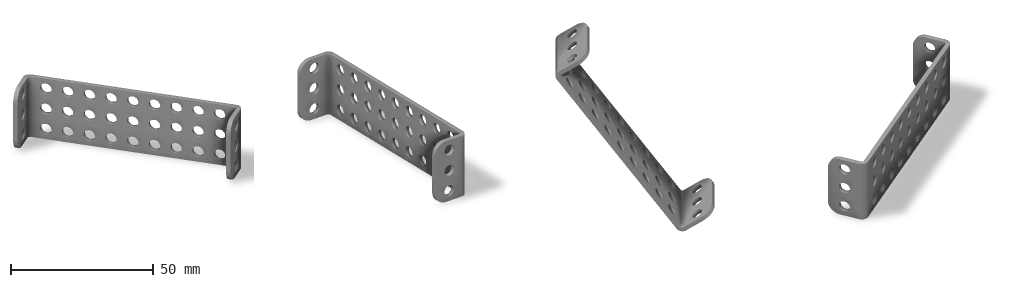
import cadquery as cq

length = 80.0
depth = 14.3
height = 24.0

thickness = 1.6
inner_bend_radius = 0.8
outer_bend_radius = inner_bend_radius + thickness
flange_corner_radius = 4.8

hole_diameter = 4.2
hole_pitch = 8.0
web_columns = 9
rows = 3
flange_hole_setback = 8.0

back_y = depth / 2
inner_length = length - 2 * thickness


def upright_block(width, front_y, rear_y, bend_radius):
    """Block centred on X and Z, with its two rear vertical edges rounded."""
    block = cq.Workplane("XY").box(width, rear_y - front_y, height)
    block = block.edges("|Z and >Y").fillet(bend_radius)
    return block.translate((0, (front_y + rear_y) / 2, 0))


outside = upright_block(length, -back_y, back_y, outer_bend_radius)
inside = upright_block(inner_length, -back_y, back_y - thickness, inner_bend_radius)
bracket = outside.cut(inside)

bracket = bracket.edges("|X and <Y").fillet(flange_corner_radius)

web_holes = (
    cq.Workplane("XZ", origin=(0, back_y, 0))
    .rarray(hole_pitch, hole_pitch, web_columns, rows)
    .circle(hole_diameter / 2)
    .extrude(thickness)
)

flange_holes = (
    cq.Workplane("YZ", origin=(0, back_y - flange_hole_setback, 0))
    .rarray(hole_pitch, hole_pitch, 1, rows)
    .circle(hole_diameter / 2)
    .extrude(length / 2, both=True)
)

result = bracket.cut(web_holes).cut(flange_holes)